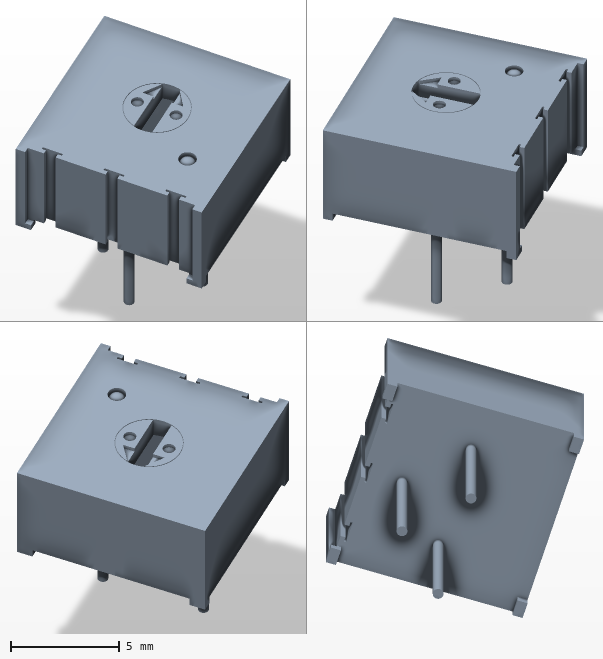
import cadquery as cq

body_side = 9.5
half_side = body_side / 2
body_height = 4.62
total_height = 10.0

foot_length = 0.78
foot_depth = 0.48
foot_bottom = 5.02

recess_depth = 0.3
recess_bottom = 4.7
strip_width = 0.48

slot_pitch = 3.15
slot_neck_width = 0.6
slot_head_width = 1.02
slot_head_start = 0.53
slot_head_end = 0.64

pin_diameter = 0.5
pin_pitch = 2.54
outer_pin_y = -0.02
middle_pin_y = outer_pin_y - pin_pitch

rotor_y = 0.44
rotor_bore_diameter = 3.2
rotor_diameter = 3.12
rotor_gap_depth = 0.04
driver_slot_width = 0.93
driver_slot_depth = 1.0
dimple_diameter = 0.6
dimple_offset_x = 0.99
dimple_offset_y = -0.04
dimple_depth = 0.2
arrow_half_base = 1.05
arrow_base_y = 0.6
arrow_tip_y = 2.13
arrow_depth = 0.2

mark_x = 2.68
mark_y = -1.92
mark_hole_diameter = 0.86
mark_clearance = 0.01
dome_radius = mark_hole_diameter / 2 - mark_clearance


def block(x_min, x_max, y_min, y_max, z_min, z_max):
    """Box given by its limits along each axis."""
    size = (x_max - x_min, y_max - y_min, z_max - z_min)
    return cq.Workplane("XY").box(*size, centered=False).translate((x_min, y_min, z_min))


def make_housing():
    """Square housing with a foot below each corner."""
    housing = block(-half_side, half_side, -half_side, half_side, -body_height, 0)
    foot_x = half_side - foot_length / 2
    foot_y = half_side - foot_depth / 2
    feet = (
        cq.Workplane("XY", origin=(0, 0, -foot_bottom))
        .rect(2 * foot_x, 2 * foot_y, forConstruction=True)
        .vertices()
        .rect(foot_length, foot_depth)
        .extrude(foot_bottom)
    )
    return housing.union(feet)


def make_front_recess():
    """Front recess that stops just below the housing, in the feet."""
    recess_half = half_side - strip_width
    return block(-recess_half, recess_half, -half_side, recess_depth - half_side, -recess_bottom, 0)


def make_t_slot(x):
    """Vertical T-slot centred on x, open to the front."""
    head_front = slot_head_start - half_side
    head_back = slot_head_end - half_side
    neck_half = slot_neck_width / 2
    head_half = slot_head_width / 2
    neck = block(x - neck_half, x + neck_half, -half_side, head_front, -body_height, 0)
    head = block(x - head_half, x + head_half, head_front, head_back, -body_height, 0)
    return neck.union(head)


def make_rotor_cuts():
    """Rotor gap, driver slot, arrow and two dimples, around the rotor axis."""
    bore = cq.Workplane("XY").circle(rotor_bore_diameter / 2).extrude(-driver_slot_depth)
    gap = (
        cq.Workplane("XY")
        .circle(rotor_bore_diameter / 2)
        .circle(rotor_diameter / 2)
        .extrude(-rotor_gap_depth)
    )
    driver_slot = (
        cq.Workplane("XY")
        .rect(driver_slot_width, rotor_bore_diameter)
        .extrude(-driver_slot_depth)
    )
    arrow = (
        cq.Workplane("XY")
        .moveTo(-arrow_half_base, arrow_base_y)
        .lineTo(arrow_half_base, arrow_base_y)
        .lineTo(0, arrow_tip_y)
        .close()
        .extrude(-arrow_depth)
    )
    dimples = (
        cq.Workplane("XY")
        .pushPoints([(-dimple_offset_x, dimple_offset_y), (dimple_offset_x, dimple_offset_y)])
        .circle(dimple_diameter / 2)
        .extrude(-dimple_depth)
    )
    cuts = driver_slot.union(arrow).intersect(bore).union(gap).union(dimples)
    return cuts.translate((0, rotor_y, 0))


def make_index_mark_cut():
    """Round hole around a hemispherical dome that rises from its floor."""
    hole = cq.Workplane("XY").circle(mark_hole_diameter / 2).extrude(-dome_radius)
    dome = cq.Workplane("XY").sphere(dome_radius).translate((0, 0, -dome_radius))
    return hole.cut(dome).translate((mark_x, mark_y, 0))


def make_pins():
    """Two outer pins in one row and a middle pin set forward by one pitch."""
    return (
        cq.Workplane("XY", origin=(0, 0, -total_height))
        .pushPoints([(-pin_pitch, outer_pin_y), (0, middle_pin_y), (pin_pitch, outer_pin_y)])
        .circle(pin_diameter / 2)
        .extrude(total_height - body_height)
    )


result = make_housing().cut(make_front_recess())
for slot_x in (-slot_pitch, 0, slot_pitch):
    result = result.cut(make_t_slot(slot_x))
result = result.cut(make_rotor_cuts())
result = result.cut(make_index_mark_cut())
result = result.union(make_pins())